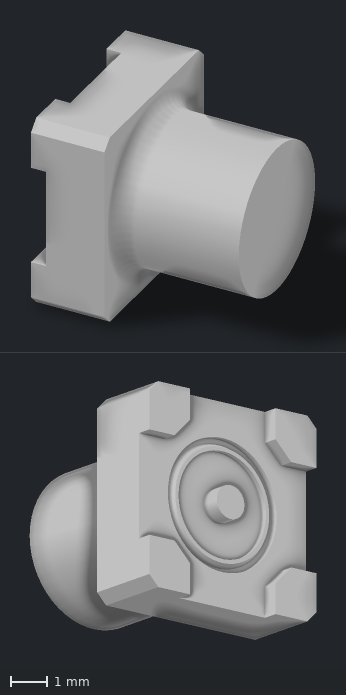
import cadquery as cq

length = 6.07
flange_side = 5.89

flange_back = 2.275
foot_height = 0.46
foot_side = 1.44
foot_chamfer = 0.55
corner_chamfer = 0.315

barrel_radius = 2.25
root_fillet = 0.5

groove_outer_radius = 1.92
groove_floor_radius = 1.765
rim_radius = 1.66
recess_radius = 1.54
recess_depth = 0.2
pin_radius = 0.485
pin_tip = 0.1

flange_face = foot_height
recess_floor = flange_face + recess_depth


def cylinder(radius, start, end):
    """Solid cylinder along the part axis from X = start to X = end."""
    return cq.Workplane("YZ", origin=(start, 0, 0)).circle(radius).extrude(end - start)


def make_flange():
    """Chamfered square block, full height including the feet."""
    block = cq.Workplane("YZ").rect(flange_side, flange_side).extrude(flange_back)
    return block.edges("|X").chamfer(corner_chamfer)


def make_foot_gap():
    """Material between the feet: a cross with its inner corners bevelled."""
    half = flange_side / 2
    inner = half - foot_side
    gap = cq.Workplane("YZ").rect(flange_side, flange_side).extrude(foot_height)
    for y_sign in (-1, 1):
        for z_sign in (-1, 1):
            outline = [
                (half, half),
                (inner, half),
                (inner, inner + foot_chamfer),
                (inner + foot_chamfer, inner),
                (half, inner),
            ]
            points = [(y_sign * y, z_sign * z) for y, z in outline]
            gap = gap.cut(cq.Workplane("YZ").polyline(points).close().extrude(foot_height))
    return gap


def make_barrel():
    """Barrel with a concave fillet where it leaves the flange."""
    fillet_end = flange_back + root_fillet
    sag = root_fillet * (1 - 0.5 ** 0.5)
    return (
        cq.Workplane("XY")
        .moveTo(flange_back, 0)
        .lineTo(flange_back, barrel_radius + root_fillet)
        .threePointArc((flange_back + sag, barrel_radius + sag), (fillet_end, barrel_radius))
        .lineTo(length, barrel_radius)
        .lineTo(length, 0)
        .close()
        .revolve(360, (0, 0, 0), (1, 0, 0))
    )


def make_groove():
    """Ring groove whose inner wall is a cone."""
    profile = [
        (flange_face, groove_outer_radius),
        (recess_floor, groove_outer_radius),
        (recess_floor, groove_floor_radius),
        (flange_face, rim_radius),
    ]
    return cq.Workplane("XY").polyline(profile).close().revolve(360, (0, 0, 0), (1, 0, 0))


result = (
    make_flange()
    .cut(make_foot_gap())
    .union(make_barrel())
    .cut(make_groove())
    .cut(cylinder(recess_radius, flange_face, recess_floor))
    .union(cylinder(pin_radius, pin_tip, recess_floor))
)